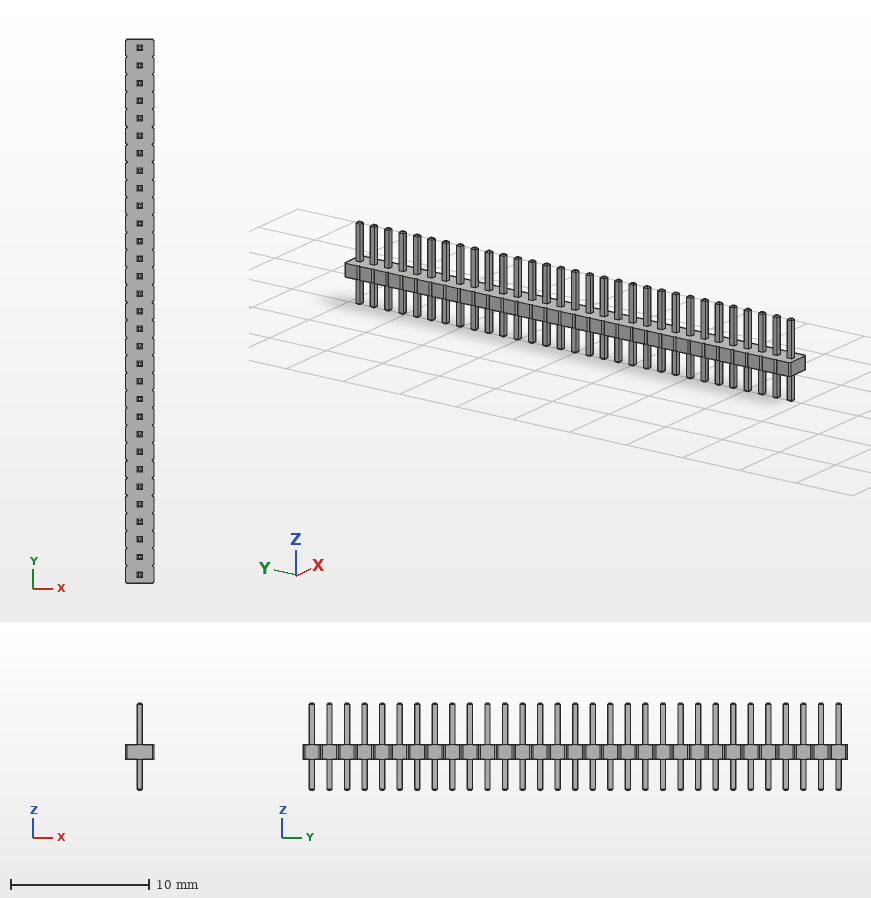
import cadquery as cq

strip_length = 39.37
pin_count = 31
body_width = 2.1
body_height = 1.05
corner_chamfer = 0.125
pin_size = 0.4
pin_above = 3.0
pin_below = 2.25
tip_chamfer = 0.1

pitch = strip_length / pin_count
pin_length = pin_above + body_height + pin_below


def housing():
    """Insulator strip with its bottom at Z = 0 and V notches between neighbouring pins."""
    strip = (
        cq.Workplane("XY")
        .rect(body_width, strip_length)
        .extrude(body_height)
    )
    notches = (
        cq.Workplane("XY")
        .rarray(body_width, pitch, 2, pin_count + 1)
        .polygon(4, 2 * corner_chamfer)
        .extrude(body_height)
    )
    return strip.cut(notches)


def pins():
    """Row of square pins with chamfered tips, running right through the housing."""
    return (
        cq.Workplane("XY", origin=(0, 0, -pin_below))
        .rarray(0.4, pitch, 1, pin_count)
        .rect(pin_size, pin_size)
        .extrude(pin_length)
        .faces("<Z or >Z")
        .chamfer(tip_chamfer)
    )


result = housing().union(pins())